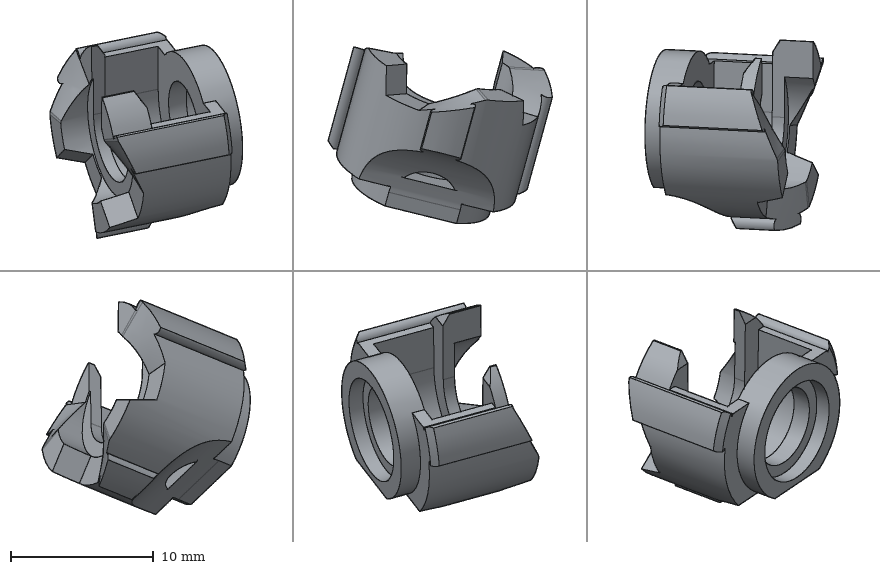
import cadquery as cq
import math

total_length = 10.0
body_length = 8.51
disc_front = 7.57
counterbore_depth = 1.08
lip_back = 2.94
recess_depth = 2.06
tooth_depth = 1.95
margin = 0.15

disc_radius = 5.0
bore_radius = 2.88
counterbore_radius = 3.75
body_radius = 6.49
key_radius = 7.3
recess_radius = 4.4
slot_radius = 3.27
cavity_radius = 4.83

ledge_height = 3.46
wing_top = 5.48
wing_bevel_start = 4.61
wing_bevel_depth = 0.53
wall_draft = 0.1

key_angles = (20, 160, 270)
key_half_width = 1.47
key_neck_half_width = 1.18
key_corner_half_width = 1.41
key_embed = 0.43
key_neck_inset = 0.12
key_bulge_height = 0.37
key_chamfer_length = 0.43
key_chamfer_height = 0.52

ramp_starts = (150, 250, 350)
ramp_span = 40.8
sector_span = 100.0
wall_foot = 75.0
wall_run = 0.74
crest_bevel_span = 2.0
crest_bevel_depth = 0.05
wing_floor_start = 95.0
tooth_cut_inner = 2.88
tooth_cut_outer = 8.65
helix_steps = 8

relief_height = -4.28
relief_tangent = 8.94
relief_radius = 5.19


def cylinder(radius, start, end):
    """Solid cylinder on the Y axis between two positions."""
    return cq.Workplane("XZ", origin=(0, start, 0)).circle(radius).extrude(start - end)


def box(x_half, y_range, z_range):
    """Box symmetric about X = 0."""
    length = y_range[1] - y_range[0]
    height = z_range[1] - z_range[0]
    block = cq.Workplane("XY").box(2 * x_half, length, height, centered=(True, False, False))
    return block.translate((0, y_range[0], z_range[0]))


def u_channel(radius, start, end):
    """Round-bottomed channel, open upwards, with slightly spreading walls."""
    top_half = radius + wall_draft
    return (
        cq.Workplane("XZ", origin=(0, start, 0))
        .moveTo(-radius, 0)
        .threePointArc((0, -radius), (radius, 0))
        .lineTo(top_half, wing_top + margin)
        .lineTo(-top_half, wing_top + margin)
        .close()
        .extrude(start - end)
    )


def key(angle):
    """Key with bulging sides, running the length of the body."""
    root = body_radius - key_embed
    neck = body_radius - key_neck_inset
    bulge = body_radius + key_bulge_height
    corner = math.sqrt(key_radius**2 - key_corner_half_width**2)
    return (
        cq.Workplane("XZ")
        .moveTo(root, -key_neck_half_width)
        .lineTo(neck, -key_neck_half_width)
        .threePointArc((bulge, -key_half_width), (corner, -key_corner_half_width))
        .threePointArc((key_radius, 0), (corner, key_corner_half_width))
        .threePointArc((bulge, key_half_width), (neck, key_neck_half_width))
        .lineTo(root, key_neck_half_width)
        .close()
        .extrude(-body_length)
        .rotate((0, 0, 0), (0, 1, 0), -angle)
    )


def key_envelope():
    """Revolved outline that bevels the rear ends of the keys."""
    return (
        cq.Workplane("XY")
        .polyline([
            (0, 0),
            (key_radius + margin, 0),
            (key_radius + margin, body_length - key_chamfer_length),
            (key_radius, body_length - key_chamfer_length),
            (key_radius - key_chamfer_height, body_length),
            (0, body_length),
        ])
        .close()
        .revolve(360, (0, 0, 0), (0, 1, 0))
    )


def helix_edge(radius, start_angle, start_depth, end_angle, end_depth):
    """Curve around the Y axis whose depth changes evenly with angle."""
    points = []
    for step in range(helix_steps + 1):
        fraction = step / helix_steps
        angle = math.radians(start_angle + fraction * (end_angle - start_angle))
        depth = start_depth + fraction * (end_depth - start_depth)
        points.append(cq.Vector(radius * math.cos(angle), depth, radius * math.sin(angle)))
    return cq.Edge.makeSpline(points)


def sector_cut(start_angle, start_depth, end_angle, end_depth):
    """Ring sector reaching forward of the part, with a radial sloping floor."""
    floor = (start_angle, start_depth, end_angle, end_depth)
    front = (start_angle, -margin, end_angle, -margin)
    edges = [
        helix_edge(tooth_cut_inner, *floor),
        helix_edge(tooth_cut_outer, *floor),
        helix_edge(tooth_cut_outer, *front),
        helix_edge(tooth_cut_inner, *front),
    ]
    faces = [cq.Face.makeRuledSurface(edges[i], edges[(i + 1) % 4]) for i in range(4)]
    for position in (0, 1):
        corners = [edge.positionAt(position) for edge in edges]
        faces.append(cq.Face.makeFromWires(cq.Wire.makePolygon(corners, close=True)))
    solid = cq.Solid.makeSolid(cq.Shell.makeShell(faces))
    return cq.Workplane(obj=solid.fix())


def wall_cut(angle):
    """Wedge leaving a steep flat wall whose foot is radial."""
    overrun = wall_run * margin / tooth_depth
    return (
        cq.Workplane("YZ", origin=(tooth_cut_inner, 0, 0))
        .polyline([(tooth_depth, 0), (-margin, -wall_run - overrun), (-margin, margin), (tooth_depth, margin)])
        .close()
        .extrude(tooth_cut_outer - tooth_cut_inner)
        .rotate((0, 0, 0), (0, 1, 0), -angle)
    )


def wing_bevel():
    """Wedge that slopes the rear of the wing tips."""
    height = wing_top - wing_bevel_start
    return (
        cq.Workplane("YZ", origin=(-body_radius, 0, 0))
        .polyline([
            (lip_back, wing_bevel_start),
            (lip_back - wing_bevel_depth, wing_top),
            (lip_back - wing_bevel_depth, wing_top + height),
            (lip_back + margin, wing_top + height),
            (lip_back + margin, wing_bevel_start),
        ])
        .close()
        .extrude(2 * body_radius)
    )


def rear_relief():
    """Concave cut below the rear, ending in a flat under the disc."""
    centre_z = relief_height - relief_radius
    return (
        cq.Workplane("YZ", origin=(-key_radius, 0, 0))
        .moveTo(relief_tangent - relief_radius, centre_z)
        .radiusArc((relief_tangent, relief_height), relief_radius)
        .lineTo(total_length + margin, relief_height)
        .lineTo(total_length + margin, centre_z)
        .close()
        .extrude(2 * key_radius)
    )


body = cylinder(body_radius, 0, body_length)
for key_angle in key_angles:
    body = body.union(key(key_angle))
body = body.intersect(key_envelope())
ledge_half_width = math.sqrt(body_radius**2 - ledge_height**2)
body = body.cut(box(ledge_half_width, (lip_back, body_length), (ledge_height, key_radius)))
body = body.cut(box(body_radius, (0, lip_back), (wing_top, key_radius)))
body = body.cut(wing_bevel())

body = body.cut(u_channel(cavity_radius, lip_back, disc_front))
body = body.cut(u_channel(slot_radius, -margin, lip_back + margin))
body = body.cut(cylinder(recess_radius, -margin, recess_depth))

body = body.union(cylinder(disc_radius, disc_front, total_length))
body = body.cut(cylinder(bore_radius, disc_front - margin, total_length + margin))
counterbore_floor = total_length - counterbore_depth
body = body.cut(cylinder(counterbore_radius, counterbore_floor, total_length + margin))
body = body.cut(rear_relief())

body = body.cut(sector_cut(wing_floor_start, tooth_depth, ramp_starts[0], tooth_depth))
for ramp_start in ramp_starts:
    crest = ramp_start + ramp_span
    bevel_start = crest - crest_bevel_span
    body = body.cut(sector_cut(ramp_start, tooth_depth, bevel_start, crest_bevel_depth))
    body = body.cut(sector_cut(bevel_start, crest_bevel_depth, crest, 0))
for ramp_start in ramp_starts[:-1]:
    foot = ramp_start + wall_foot
    body = body.cut(wall_cut(foot))
    body = body.cut(sector_cut(foot, tooth_depth, ramp_start + sector_span, tooth_depth))

result = body